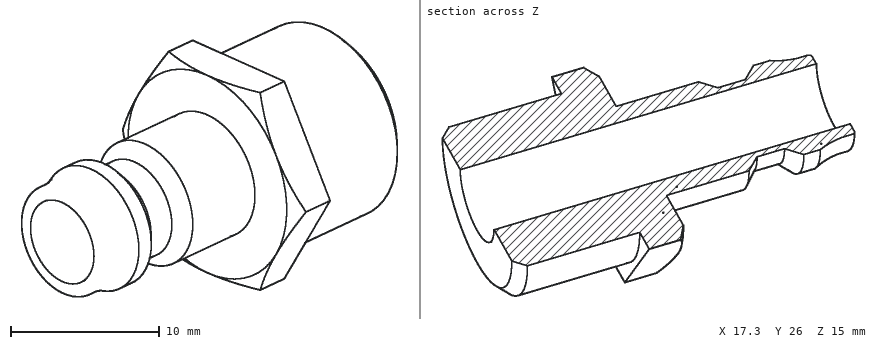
import cadquery as cq
import math


bore_diameter = 6.0
tip_diameter = 8.0
tip_edge_radius = 0.25
tip_length = 1.0
flare_end = 2.8
flare_radius = 5.0
plug_diameter = 9.0
collar_end = 4.0

groove_diameter = 7.0
groove_flank = (plug_diameter - groove_diameter) / 2
groove_floor_start = collar_end + groove_flank
groove_floor_length = 2.0
groove_floor_end = groove_floor_start + groove_floor_length
groove_end = groove_floor_end + groove_flank

hex_start = 14.0
hex_thickness = 3.0
hex_end = hex_start + hex_thickness
hex_across_flats = 15.0
hex_across_corners = hex_across_flats / math.cos(math.pi / 6)
hex_chamfer_angle = math.radians(30)

thread_diameter = 14.0
thread_chamfer = 0.81
total_length = 26.0


def revolve_about_y(profile):
    """Turn a closed profile drawn in the XY plane around the Y axis."""
    return profile.close().revolve(360, (0, 0, 0), (0, 1, 0))


def make_plug():
    """Nose, collar and locking groove, ending inside the hexagon."""
    tip_radius = tip_diameter / 2
    plug_radius = plug_diameter / 2
    groove_radius = groove_diameter / 2
    profile = (
        cq.Workplane("XY")
        .lineTo(tip_radius - tip_edge_radius, 0)
        .radiusArc((tip_radius, tip_edge_radius), -tip_edge_radius)
        .lineTo(tip_radius, tip_length)
        .radiusArc((plug_radius, flare_end), flare_radius)
        .lineTo(plug_radius, collar_end)
        .lineTo(groove_radius, groove_floor_start)
        .lineTo(groove_radius, groove_floor_end)
        .lineTo(plug_radius, groove_end)
        .lineTo(plug_radius, hex_end)
        .lineTo(0, hex_end)
    )
    return revolve_about_y(profile)


def make_hexagon():
    """Hexagon with corners on the X axis, its front corners turned to a cone."""
    prism = (
        cq.Workplane("XZ", origin=(0, hex_end, 0))
        .polygon(6, hex_across_corners)
        .extrude(hex_thickness)
    )
    face_radius = hex_across_flats / 2
    cone_radius = face_radius + hex_thickness / math.tan(hex_chamfer_angle)
    cone = revolve_about_y(
        cq.Workplane("XY")
        .moveTo(0, hex_start)
        .lineTo(face_radius, hex_start)
        .lineTo(cone_radius, hex_end)
        .lineTo(0, hex_end)
    )
    return prism.intersect(cone)


def make_threaded_end():
    """Plain cylinder with a chamfered free end."""
    return (
        cq.Workplane("XZ", origin=(0, total_length, 0))
        .circle(thread_diameter / 2)
        .extrude(total_length - hex_end)
        .faces(">Y")
        .chamfer(thread_chamfer)
    )


def make_bore():
    """Through bore along the whole part."""
    return (
        cq.Workplane("XZ", origin=(0, total_length, 0))
        .circle(bore_diameter / 2)
        .extrude(total_length)
    )


body = make_plug().union(make_hexagon()).union(make_threaded_end())
result = body.cut(make_bore())